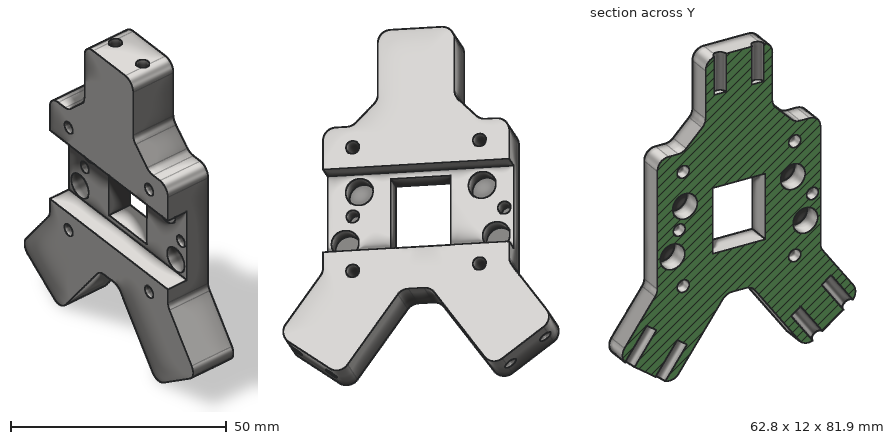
import cadquery as cq
import math

thickness = 12.0
hub_width = 44.0
hub_height = 40.1
corner_radius = 3.0

arm_reach = 43.0
arm_width = 18.1
lower_arm_angle = 54.0
gusset = 6.1

channel_height = 20.1
channel_depth = 5.65
window_width = 14.1
window_height = 17.1

screw_diameter = 3.1
screw_offset = 15.0
end_hole_offset = 5.1
end_hole_depth = 10.0

seat_diameter = 6.5
upper_seat_x = 14.5
upper_seat_z = 5.8
lower_seat_x = 17.85
lower_seat_z = -6.55
locator_diameter = 3.0
left_locator_x = -16.05
right_locator_x = 19.75
floor_hole_depth = 5.0

half_thickness = thickness / 2
half_hub_width = hub_width / 2
half_hub_height = hub_height / 2
half_arm = arm_width / 2
front_y = -half_thickness
channel_floor_y = front_y + channel_depth


def sketch_at_depth(y):
    """Sketch plane at depth y whose normal points to +Y, with local axes (x, -z)."""
    return cq.Workplane(cq.Plane(origin=(0, y, 0), xDir=(1, 0, 0), normal=(0, 1, 0)))


def holes_along_y(centres, diameter, start_y, depth):
    """Cylinders running towards +Y from start_y at the given (x, z) centres."""
    points = [(x, -z) for x, z in centres]
    return sketch_at_depth(start_y).pushPoints(points).circle(diameter / 2).extrude(depth)


def right_half_outline():
    """Sharp (x, z) corners of the right half, from the arm top down to the crotch."""
    angle = math.radians(lower_arm_angle)
    cos_a = math.cos(angle)
    sin_a = math.sin(angle)

    def arm_point(along, across):
        return (along * cos_a + across * sin_a, -along * sin_a + across * cos_a)

    hip_z = (half_arm - half_hub_width * sin_a) / cos_a
    crotch_x = (half_hub_height * cos_a - half_arm) / sin_a
    return [
        (half_arm, arm_reach),
        (half_arm, half_hub_height + gusset),
        (half_arm + gusset, half_hub_height),
        (half_hub_width, half_hub_height),
        (half_hub_width, hip_z),
        arm_point(arm_reach, half_arm),
        arm_point(arm_reach, -half_arm),
        (crotch_x, -half_hub_height),
    ]


def make_plate():
    """Solid plate with every outline corner rounded, before the cuts."""
    right = right_half_outline()
    left = [(-x, z) for x, z in reversed(right)]
    corners = [(x, -z) for x, z in right + left]
    plate = sketch_at_depth(front_y).polyline(corners).close().extrude(thickness)
    return plate.edges("|Y").fillet(corner_radius)


def arm_end_holes():
    """Pairs of blind holes drilled into the end face of each arm."""
    upright = (
        cq.Workplane("XY", origin=(0, 0, arm_reach - end_hole_depth))
        .pushPoints([(-end_hole_offset, 0), (end_hole_offset, 0)])
        .circle(screw_diameter / 2)
        .extrude(end_hole_depth)
    )
    turn = 90 + lower_arm_angle
    holes = upright
    for angle in (-turn, turn):
        holes = holes.union(upright.rotate((0, 0, 0), (0, 1, 0), angle))
    return holes


plate = make_plate()

channel = cq.Workplane("XY").box(hub_width, channel_depth, channel_height)
channel = channel.translate((0, front_y + channel_depth / 2, 0))
window = cq.Workplane("XY").box(window_width, thickness, window_height)

screw_centres = [(sx * screw_offset, sz * screw_offset) for sx in (-1, 1) for sz in (-1, 1)]
screw_holes = holes_along_y(screw_centres, screw_diameter, front_y, thickness)

seat_centres = []
for side in (-1, 1):
    seat_centres.append((side * upper_seat_x, upper_seat_z))
    seat_centres.append((side * lower_seat_x, lower_seat_z))
seats = holes_along_y(seat_centres, seat_diameter, channel_floor_y, floor_hole_depth)

locator_centres = [(left_locator_x, 0), (right_locator_x, 0)]
locators = holes_along_y(locator_centres, locator_diameter, channel_floor_y, floor_hole_depth)

result = plate
for cutter in (channel, window, screw_holes, seats, locators, arm_end_holes()):
    result = result.cut(cutter)